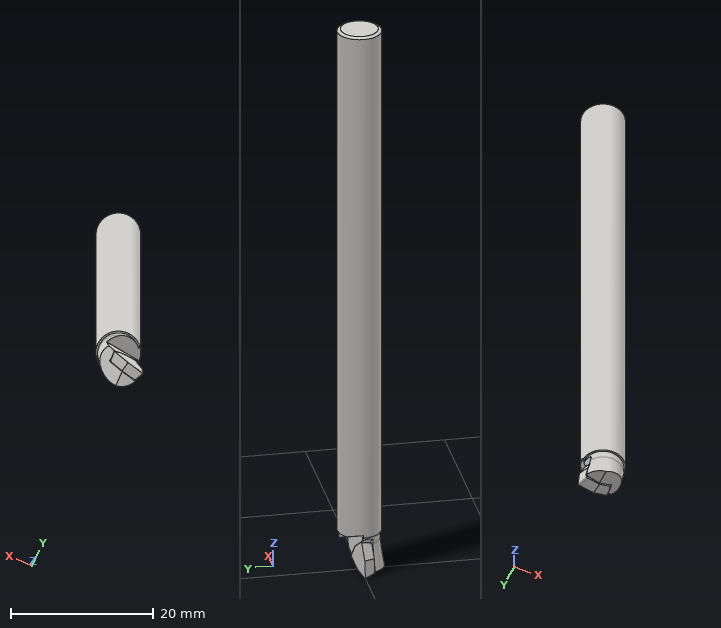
import cadquery as cq
import math

TOTAL_LENGTH = 83.65
TOTAL_WIDTH = 7.1

SHANK_DIAMETER = 6.35
SHANK_BOTTOM = 6.0
TOP_CHAMFER_WIDTH = 0.5
TOP_CHAMFER_HEIGHT = 0.25
NECK_RADIUS = 2.9
NECK_BOTTOM = 4.8

HEAD_END_RADIUS = 2.85
HEAD_SHIFT_X = -0.75
HEAD_SHIFT_Y = -0.6
HEAD_BOTTOM = 0.75
HEAD_SLOPE_START_X = -1.1
HEAD_SLOPE_ANGLE = 27.0

FLUTE_AXIS_Z = 4.9
FLUTE_ROOF_ANGLE = 25.0

INSCRIBED_RADIUS = 2.0
CORNER_ANGLE = 80.0
NOSE_RADIUS = 0.2
INSERT_THICKNESS = 1.6
CLEARANCE_ANGLE = 11.0
RAKE_ANGLE = 12.0
TIP_X = SHANK_DIAMETER / 2 - TOTAL_WIDTH
TIP_Y = -0.1
CORNER_DIRECTION = 225.0
POCKET_ROOF_ANGLE = 45.0

REACH = 10.0

half_corner = math.radians(CORNER_ANGLE / 2)
rake = math.radians(RAKE_ANGLE)
corner_distance = INSCRIBED_RADIUS / math.sin(half_corner)
obtuse_distance = INSCRIBED_RADIUS / math.cos(math.radians(60.0) - (math.pi / 2 - half_corner))
nose_distance = (INSCRIBED_RADIUS - NOSE_RADIUS) / math.sin(half_corner)
tip_offset = NOSE_RADIUS - nose_distance * math.cos(math.radians(CORNER_DIRECTION))
rake_plane = cq.Plane(
    origin=(TIP_X + tip_offset * math.cos(rake), TIP_Y + tip_offset * math.sin(rake), tip_offset),
    xDir=(math.cos(rake), math.sin(rake), 0),
    normal=(math.sin(rake), -math.cos(rake), 0),
)


def polar(distance, angle):
    """Point at a distance and angle in degrees from the insert centre."""
    return (distance * math.cos(math.radians(angle)), distance * math.sin(math.radians(angle)))


def make_insert():
    """Tapered trigon plate with rounded cutting corners."""
    outline = []
    for i in range(3):
        angle = CORNER_DIRECTION + 120.0 * i
        outline.append(polar(corner_distance, angle))
        outline.append(polar(obtuse_distance, angle + 60.0))
    plate = cq.Workplane(rake_plane).polyline(outline).close()
    plate = plate.extrude(INSERT_THICKNESS, taper=CLEARANCE_ANGLE)
    nose_edges = []
    for edge in plate.edges().vals():
        ends = [rake_plane.toLocalCoords(p) for p in (edge.startPoint(), edge.endPoint())]
        spans_thickness = abs(ends[0].z - ends[1].z) > INSERT_THICKNESS / 2
        distance = max(math.hypot(p.x, p.y) for p in ends)
        if spans_thickness and distance > (corner_distance + obtuse_distance) / 2:
            nose_edges.append(edge)
    return plate.newObject(nose_edges).fillet(NOSE_RADIUS)


def make_shank():
    """Chamfered round bar with the slimmer neck below it."""
    radius = SHANK_DIAMETER / 2
    profile = [
        (0, NECK_BOTTOM),
        (NECK_RADIUS, NECK_BOTTOM),
        (NECK_RADIUS, SHANK_BOTTOM),
        (radius, SHANK_BOTTOM),
        (radius, TOTAL_LENGTH - TOP_CHAMFER_HEIGHT),
        (radius - TOP_CHAMFER_WIDTH, TOTAL_LENGTH),
        (0, TOTAL_LENGTH),
    ]
    return cq.Workplane("XZ").polyline(profile).close().revolve(360, (0, 0), (0, 1))


def make_head():
    """Leaning tapered head whose bottom slopes up towards +X."""
    lean = (
        cq.Workplane("XY", origin=(0, 0, NECK_BOTTOM)).circle(NECK_RADIUS)
        .workplane(offset=HEAD_BOTTOM - NECK_BOTTOM)
        .center(HEAD_SHIFT_X, HEAD_SHIFT_Y).circle(HEAD_END_RADIUS)
        .loft(ruled=True)
    )
    slope_rise = (REACH - HEAD_SLOPE_START_X) * math.tan(math.radians(HEAD_SLOPE_ANGLE))
    below_slope = [
        (HEAD_SLOPE_START_X, HEAD_BOTTOM),
        (REACH, HEAD_BOTTOM),
        (REACH, HEAD_BOTTOM + slope_rise),
    ]
    return lean.cut(cq.Workplane("XZ").polyline(below_slope).close().extrude(REACH, both=True))


def make_flute():
    """Space in front of the cutting face, below the sloping flute roof."""
    space = cq.Workplane(rake_plane).rect(2 * REACH, 4 * REACH).extrude(-REACH)
    roof_rise = REACH * math.tan(math.radians(FLUTE_ROOF_ANGLE))
    below_roof = [
        (-REACH, -REACH),
        (REACH, -REACH),
        (REACH, FLUTE_AXIS_Z - roof_rise),
        (-REACH, FLUTE_AXIS_Z + roof_rise),
    ]
    return space.intersect(cq.Workplane("XZ").polyline(below_roof).close().extrude(REACH, both=True))


def make_pocket_opening():
    """Open space outside the two exposed sides of the insert."""
    upper = polar(corner_distance, CORNER_DIRECTION - 120.0)
    lower = polar(corner_distance, CORNER_DIRECTION + 120.0)
    roof_rise = (upper[0] + REACH) * math.tan(math.radians(POCKET_ROOF_ANGLE))
    outline = [
        upper,
        (-REACH, upper[1] + roof_rise),
        (-REACH, -REACH),
        (lower[0], -REACH),
        lower,
    ]
    return cq.Workplane(rake_plane).polyline(outline).close().extrude(INSERT_THICKNESS)


insert = make_insert()
holder = make_shank().union(make_head())
holder = holder.cut(make_flute()).cut(make_pocket_opening()).cut(insert)

result = cq.Compound.makeCompound([holder.solids().val(), insert.solids().val()])